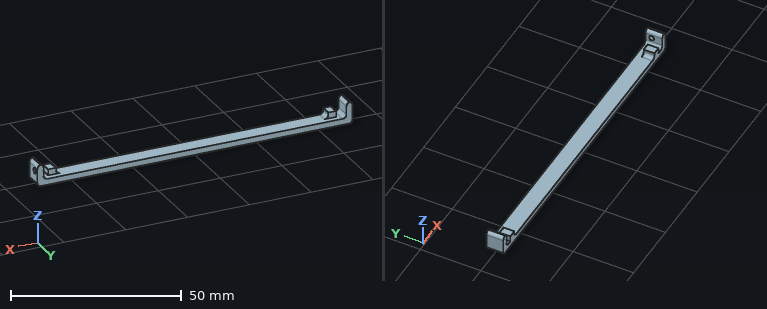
import cadquery as cq
import math

body_length = 102.0
width = 5.59
height = 6.97
base_thickness = 2.0
wall_thickness = 2.0

bend_radius = 1.21

block_offset = 4.4
block_length = 2.54
block_width = 3.6
block_height = 1.95

hole_diameter = 1.6
hole_y = 0.8
hole_z = 4.5

nub_diameter = 0.3
nub_reach = 0.08
nub_y = 1.0
nub_z = hole_z - hole_diameter / 2

half_length = body_length / 2
inner_wall_x = half_length - wall_thickness
front_y = -width / 2
block_top = base_thickness + block_height

tip_rise = math.sqrt(bend_radius**2 - (bend_radius - wall_thickness / 2) ** 2)
tip_spring_z = height - tip_rise
ridge_x = half_length - wall_thickness / 2


def front_sketch():
    """Workplane on the front face, with X and Z as its axes."""
    return cq.Workplane("XZ", origin=(0, front_y, 0))


def extrude_from_front(profile, depth):
    """Extrude a front-face profile toward +Y; the workplane normal is -Y."""
    return profile.extrude(-depth)


def make_half_channel():
    """The +X half of the bar: flat base, rounded bend and pointed end wall."""
    profile = (
        front_sketch()
        .moveTo(0, 0)
        .lineTo(half_length - bend_radius, 0)
        .radiusArc((half_length, bend_radius), -bend_radius)
        .lineTo(half_length, tip_spring_z)
        .radiusArc((ridge_x, height), -bend_radius)
        .radiusArc((inner_wall_x, tip_spring_z), -bend_radius)
        .lineTo(inner_wall_x, base_thickness + bend_radius)
        .radiusArc((inner_wall_x - bend_radius, base_thickness), bend_radius)
        .lineTo(0, base_thickness)
        .close()
    )
    return extrude_from_front(profile, width)


def make_block():
    """Stop block near the +X wall, with a concave fillet on its inboard foot."""
    outer_x = half_length - block_offset
    inner_x = outer_x - block_length
    profile = (
        front_sketch()
        .moveTo(outer_x, base_thickness)
        .lineTo(outer_x, block_top)
        .lineTo(inner_x, block_top)
        .lineTo(inner_x, base_thickness + bend_radius)
        .radiusArc((inner_x - bend_radius, base_thickness), bend_radius)
        .close()
    )
    return extrude_from_front(profile, block_width)


def make_rod(y, z, diameter, reach):
    """Cylinder along X from the inner face of the +X wall to a reach beyond its outer face."""
    start = (inner_wall_x, y, z)
    return cq.Workplane("YZ", origin=start).circle(diameter / 2).extrude(wall_thickness + reach)


half = make_half_channel().union(make_block())
bar = half.union(half.mirror("YZ"))
nub = make_rod(nub_y, nub_z, nub_diameter, nub_reach)
hole = make_rod(hole_y, hole_z, hole_diameter, nub_reach)
result = bar.union(nub).cut(hole)